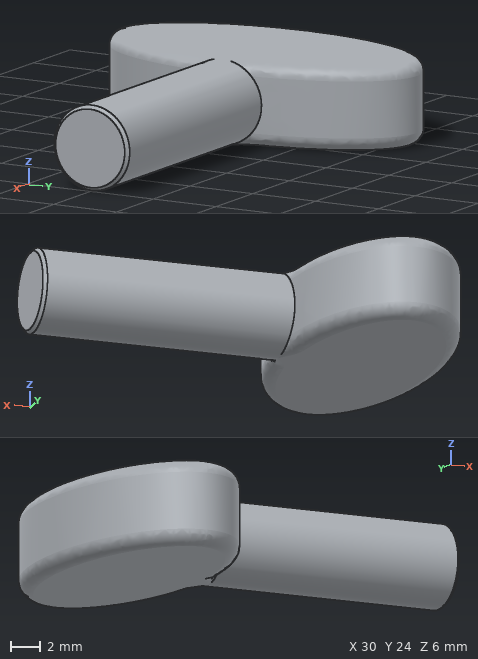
import cadquery as cq
import math

thickness = 6.0
head_width = 12.0
head_length = 24.0
overall_length = 30.0
edge_radius = 1.0
tip_chamfer = 0.25

half_thickness = thickness / 2
half_width = head_width / 2
half_length = head_length / 2
shaft_radius = half_thickness
shaft_end = overall_length - half_width

ball_height = half_thickness - edge_radius
runout_half_span = math.sqrt(shaft_radius**2 - ball_height**2)
runout_start = 0.02
section_count = 9
core_overlap = 0.02
join_tolerance = 0.001


def make_head():
    """Elliptical plate with both rims rounded."""
    plate = (
        cq.Workplane("XY")
        .workplane(offset=-half_thickness)
        .ellipse(half_length, half_width, rotation_angle=-90)
        .extrude(thickness)
    )
    return plate.faces("|Z").edges().fillet(edge_radius)


def make_shaft():
    """Round shaft along +X, starting at the head centre."""
    cross_plane = cq.Plane(origin=(0, 0, 0), xDir=(0, 0, 1), normal=(1, 0, 0))
    shaft = cq.Workplane(cross_plane).circle(shaft_radius).extrude(shaft_end)
    return shaft.faces(">X").chamfer(tip_chamfer)


def shaft_rim_point(y):
    """Point on the upper line where the shaft meets the head's side wall."""
    x = half_width * math.sqrt(1 - (y / half_length) ** 2)
    z = math.sqrt(shaft_radius**2 - y**2)
    return cq.Vector(x, y, z)


def ball_centre(y):
    """Centre of the rolling ball that touches the shaft rim at the given Y."""
    rim = shaft_rim_point(y)
    slope_x = -(half_width / half_length) ** 2 * y / rim.x
    slope_z = -y / rim.z
    drop = rim.z - ball_height
    reach_squared = edge_radius**2 - drop**2
    length = math.hypot(slope_x, 1)
    along = drop * slope_z / length
    inward = math.sqrt(max(reach_squared - along**2, 0))
    step_x = (along * slope_x - inward) / length
    step_y = (along + inward * slope_x) / length
    return cq.Vector(rim.x + step_x, rim.y + step_y, ball_height)


def runout_section(y):
    """Upright section of the rounded strip, from the core out to the shaft rim."""
    rim = shaft_rim_point(y)
    centre = ball_centre(y)
    outward = cq.Vector(rim.x - centre.x, rim.y - centre.y, 0).normalized()
    half_angle = math.acos((rim.z - ball_height) / edge_radius) / 2
    up = cq.Vector(0, 0, 1)
    arc_middle = centre + (up * math.cos(half_angle) + outward * math.sin(half_angle)) * edge_radius
    arc_top = centre + up * edge_radius
    inner_top = arc_top - outward * core_overlap
    inner_foot = cq.Vector(inner_top.x, inner_top.y, 0)
    return cq.Wire.assembleEdges([
        cq.Edge.makeLine(inner_top, arc_top),
        cq.Edge.makeThreePointArc(arc_top, arc_middle, rim),
        cq.Edge.makeLine(rim, inner_foot),
        cq.Edge.makeLine(inner_foot, inner_top),
    ])


def make_upper_runout():
    """Pointed fill on the upper side between the head's flat face and the shaft."""
    step = (runout_half_span - runout_start) / (section_count - 1)
    stations = [runout_start + i * step for i in range(section_count)]
    strip = cq.Workplane(cq.Solid.makeLoft([runout_section(y) for y in stations]))
    side = [ball_centre(y).toTuple()[:2] for y in stations]
    tip_x = side[0][0]
    back_x = side[-1][0]
    core = (
        cq.Workplane("XY")
        .moveTo(tip_x, 0)
        .lineTo(*side[0])
        .spline(side[1:], includeCurrent=True)
        .lineTo(back_x, 0)
        .close()
        .extrude(half_thickness)
    )
    half = core.union(strip, tol=join_tolerance)
    return half.union(half.mirror("XZ"), tol=join_tolerance)


upper_runout = make_upper_runout()
lower_runout = upper_runout.mirror("XY")
result = make_head().union(make_shaft(), tol=join_tolerance)
for runout in (upper_runout, lower_runout):
    result = result.union(runout, tol=join_tolerance)